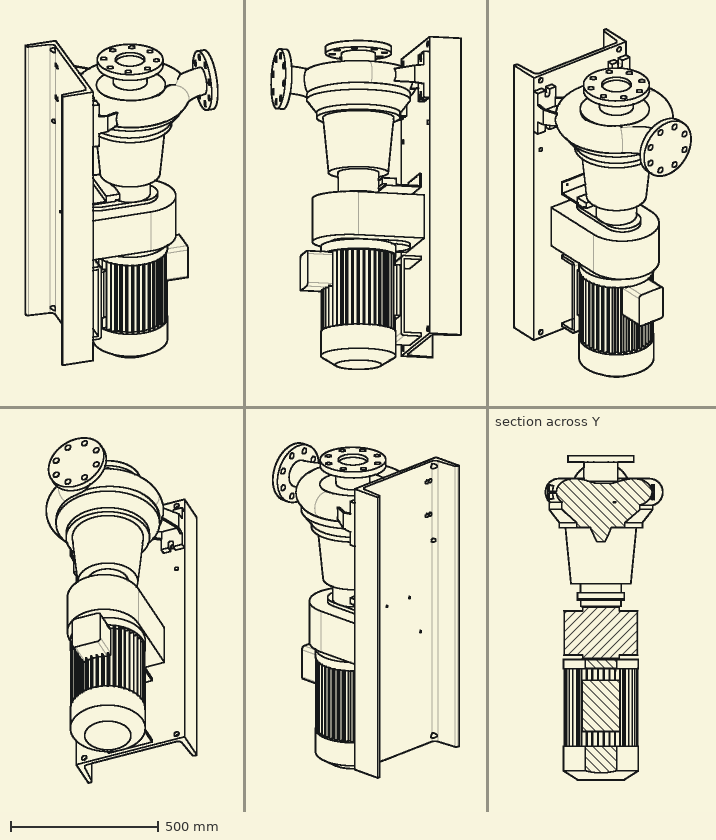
import cadquery as cq
import math


CHANNEL_WIDTH = 400.0
CHANNEL_LENGTH = 1030.0
CHANNEL_DEPTH = 110.0
WEB_THICKNESS = 14.0
WEB_FACE_Y = -200.0
FLANGE_ROOT_THICKNESS = 22.0
FLANGE_TIP_THICKNESS = 14.0
FLANGE_ROOT_RADIUS = 15.0
FLANGE_TIP_RADIUS = 8.0
ANCHOR_HOLE_X = 170.0
ANCHOR_HOLES = ((21.0, 9.0), (738.0, 7.0), (1010.0, 9.0))
FOOT_HOLE_XS = (141.0, 157.0)
FOOT_HOLE_RADIUS = 7.0
SMALL_HOLE_RADIUS = 3.0
SUPPORT_HOLE_X = 55.0
SUPPORT_HOLE_Z = 560.0
GUARD_HOLE_X = 110.0

SUCTION_FACE_Z = 1023.0
SUCTION_FLANGE_RADIUS = 112.0
SUCTION_FLANGE_THICKNESS = 22.0
SUCTION_PIPE_RADIUS = 58.0
SUCTION_BORE_RADIUS = 50.0
SUCTION_BORE_DEPTH = 12.0
SUCTION_BOLT_CIRCLE_RADIUS = 90.0
BOLT_HOLE_RADIUS = 10.0
BOLT_COUNT = 8

VOLUTE_Z = 899.0
VOLUTE_TUBE_RADIUS = 47.0
VOLUTE_CENTRE_X = 11.0
VOLUTE_TURN_RADIUS = 153.0
OUTLET_TURN_ANGLE = 60.0
TONGUE_TUBE_RADIUS = 29.0
TONGUE_END_RADIUS = 157.0
TONGUE_END_ANGLE = 58.0
DISCHARGE_FACE_Y = 281.0
DISCHARGE_FLANGE_RADIUS = 102.0
DISCHARGE_FLANGE_THICKNESS = 22.0
DISCHARGE_BOLT_CIRCLE_RADIUS = 80.0

COVER_TOP_Z = 936.0
COVER_EDGE_Z = 929.0
COVER_EDGE_RADIUS = 123.0
CASING_RADIUS = 176.0
CASING_TOP_Z = 865.0
CASING_CONE_TOP_Z = 840.0
COLLAR_RADIUS = 142.0
COLLAR_TOP_Z = 796.0
BRACKET_TOP_Z = 778.0
BRACKET_TOP_RADIUS = 121.0
BRACKET_BOTTOM_RADIUS = 102.0
NECK_TOP_Z = 587.0
NECK_TOP_RADIUS = 70.0
NECK_BOTTOM_RADIUS = 69.0
NECK_BOTTOM_Z = 511.0

PAD_INNER_X = 122.0
PAD_THICKNESS = 21.0
PAD_BOTTOM_Z = 819.0
PAD_TOP_Z = 978.0
PAD_SLOT_X = 158.0
PAD_SLOT_WIDTH = 18.0
PAD_SLOT_DEPTH = 18.0
FOOT_WALL = 7.0
FOOT_BEND_Y = -148.0
FOOT_TIP = (-144.0, -48.0)
FOOT_ROOT_HALF_HEIGHT = 35.0
FOOT_TIP_HALF_HEIGHT = 17.0
FOOT_RIB_TIP = (-67.0, -152.0)

SUPPORT_HALF_WIDTH = 80.0
SUPPORT_SHEET = 4.0
SUPPORT_BOTTOM_Z = 532.0
SUPPORT_TOP_Z = 578.0
SUPPORT_FRONT_Y = -78.0
LUG_FRONT_Y = -64.0
LUG_BACK_Y = -113.0
LUG_TOP_Z = 557.0

GUARD_RADIUS = 125.0
GUARD_ROUND_Y = 32.0
GUARD_BOTTOM_Z = 345.0
GUARD_TOP_Z = 495.0
BOSS_RADIUS = 63.0
BOSS_LOWER_Y = -117.0
BOSS_BOTTOM_Z = 333.0
BOSS_TOP_Z = 508.0

MOTOR_RADIUS = 128.0
MOTOR_TOP_Z = 331.0
FINS_TOP_Z = 299.0
FINS_BOTTOM_Z = 35.0
FAN_COVER_CONE_Z = -49.0
MOTOR_BOTTOM_Z = -80.0
MOTOR_BOTTOM_RADIUS = 79.0
FIN_TIP_RADIUS = 125.0
FIN_CORE_RADIUS = 111.0
FIN_THICKNESS = 2.0
FINS_PER_SIDE = 10
FIN_PITCH_ANGLE = 360.0 / (4 * FINS_PER_SIDE)
BOX_HALF_WIDTH = 52.0
BOX_FACE_Y = 191.0
BOX_BOTTOM_Z = 176.0
BOX_EDGE_RADIUS = 11.0
MOTOR_FOOT_BOTTOM_Z = 84.0
MOTOR_FOOT_TOP_Z = 260.0
MOTOR_FOOT_HALF_WIDTH = 67.0
MOTOR_FOOT_THICKNESS = 12.0
MOTOR_FOOT_NECK_HALF_WIDTH = 53.0
MOTOR_FOOT_NECK_Y = -100.0

MOUNT_FACE_Y = -130.0
MOUNT_BOTTOM_Z = 13.0
MOUNT_TOP_Z = 291.0
MOUNT_THICKNESS = 11.0
MOUNT_HALF_WIDTH = 80.0
MOUNT_CORNER_RADIUS = 10.0


def box_between(x_range, y_range, z_range):
    """Box that spans three (low, high) ranges."""
    size = [high - low for low, high in (x_range, y_range, z_range)]
    corner = (x_range[0], y_range[0], z_range[0])
    return cq.Workplane(cq.Solid.makeBox(*size, pnt=cq.Vector(*corner)))


def z_cylinder(radius, bottom_z, top_z):
    return cq.Workplane("XY", origin=(0, 0, bottom_z)).circle(radius).extrude(top_z - bottom_z)


def z_extrusion(points, bottom_z, top_z):
    """Closed XY outline extruded between two heights."""
    outline = cq.Workplane("XY", origin=(0, 0, bottom_z)).polyline(points).close()
    return outline.extrude(top_z - bottom_z)


def mirrored_pair(shape):
    """The shape and its mirror image across the YZ plane, as one workplane."""
    return shape.union(shape.mirror("YZ"))


def web_holes(points, radius):
    """Drills for the channel web at (X, Z) points."""
    plane = cq.Workplane("XZ", origin=(0, WEB_FACE_Y, 0))
    return plane.pushPoints(points).circle(radius).extrude(CHANNEL_DEPTH)


def both_sides(x, z):
    return [(-x, z), (x, z)]


def make_channel():
    outer_x = CHANNEL_WIDTH / 2
    tip_y = WEB_FACE_Y - CHANNEL_DEPTH
    web_back_y = WEB_FACE_Y - WEB_THICKNESS
    root_x = outer_x - FLANGE_ROOT_THICKNESS
    tip_x = outer_x - FLANGE_TIP_THICKNESS
    outline = [
        (-outer_x, WEB_FACE_Y),
        (outer_x, WEB_FACE_Y),
        (outer_x, tip_y),
        (tip_x, tip_y),
        (root_x, web_back_y),
        (-root_x, web_back_y),
        (-tip_x, tip_y),
        (-outer_x, tip_y),
    ]
    channel = z_extrusion(outline, 0, CHANNEL_LENGTH)

    middle_z = CHANNEL_LENGTH / 2
    for side in (-1, 1):
        root = cq.NearestToPointSelector((side * root_x, web_back_y, middle_z))
        channel = channel.edges("|Z").edges(root).fillet(FLANGE_ROOT_RADIUS)
        tip = cq.NearestToPointSelector((side * tip_x, tip_y, middle_z))
        channel = channel.edges("|Z").edges(tip).fillet(FLANGE_TIP_RADIUS)

    for z, radius in ANCHOR_HOLES:
        channel = channel.cut(web_holes(both_sides(ANCHOR_HOLE_X, z), radius))
    for z in (PAD_BOTTOM_Z + PAD_SLOT_DEPTH, PAD_TOP_Z - PAD_SLOT_DEPTH):
        for x in FOOT_HOLE_XS:
            channel = channel.cut(web_holes(both_sides(x, z), FOOT_HOLE_RADIUS))
    guard_middle_z = (GUARD_BOTTOM_Z + GUARD_TOP_Z) / 2
    small_holes = both_sides(SUPPORT_HOLE_X, SUPPORT_HOLE_Z)
    small_holes += both_sides(GUARD_HOLE_X, guard_middle_z)
    return channel.cut(web_holes(small_holes, SMALL_HOLE_RADIUS))


def bolt_holes(flange, circle_radius):
    """Flange with a ring of bolt holes that straddles the flange's axes."""
    ring = flange.polarArray(circle_radius, 180 / BOLT_COUNT, 360, BOLT_COUNT)
    return ring.circle(BOLT_HOLE_RADIUS).cutThruAll()


def make_suction():
    flange_back_z = SUCTION_FACE_Z - SUCTION_FLANGE_THICKNESS
    flange = z_cylinder(SUCTION_FLANGE_RADIUS, flange_back_z, SUCTION_FACE_Z)
    flange = bolt_holes(flange.faces(">Z").workplane(), SUCTION_BOLT_CIRCLE_RADIUS)
    pipe = z_cylinder(SUCTION_PIPE_RADIUS, VOLUTE_Z, flange_back_z)
    bore = z_cylinder(SUCTION_BORE_RADIUS, SUCTION_FACE_Z - SUCTION_BORE_DEPTH, SUCTION_FACE_Z)
    return flange.union(pipe).cut(bore)


def tube_section(centre, turn_radius, angle, tube_radius):
    """Circle on the vertical plane through `centre` at `angle` degrees from +X."""
    outward = cq.Vector(math.cos(math.radians(angle)), math.sin(math.radians(angle)), 0)
    middle = cq.Vector(centre[0], centre[1], VOLUTE_Z) + outward * turn_radius
    plane = cq.Plane(origin=middle, xDir=outward, normal=outward.cross(cq.Vector(0, 0, 1)))
    return cq.Workplane(plane).circle(tube_radius)


def tube_arc(centre, turn_radius, start_angle, end_angle):
    """Round tube that turns counterclockwise about a vertical axis at `centre`."""
    section = tube_section(centre, turn_radius, start_angle, VOLUTE_TUBE_RADIUS)
    return section.revolve(end_angle - start_angle, (-turn_radius, 0), (-turn_radius, 1))


def make_tongue():
    """Start of the volute, which widens from inside the outlet to the full tube on the -X side."""
    full_radius = VOLUTE_TURN_RADIUS - VOLUTE_CENTRE_X
    full = tube_section((0, 0), full_radius, 180, VOLUTE_TUBE_RADIUS)
    narrow = tube_section((0, 0), TONGUE_END_RADIUS, TONGUE_END_ANGLE, TONGUE_TUBE_RADIUS)

    end_angle = math.radians(TONGUE_END_ANGLE)
    middle_angle = (math.pi + end_angle) / 2
    middle_radius = (full_radius + TONGUE_END_RADIUS) / 2
    middle = (middle_radius * math.cos(middle_angle), middle_radius * math.sin(middle_angle))
    end = (TONGUE_END_RADIUS * math.cos(end_angle), TONGUE_END_RADIUS * math.sin(end_angle))
    path = cq.Workplane("XY", origin=(0, 0, VOLUTE_Z)).moveTo(-full_radius, 0)
    path = path.threePointArc(middle, end)
    return full.add(narrow).sweep(path, multisection=True)


def make_volute():
    turn = math.radians(OUTLET_TURN_ANGLE)
    inflection = (
        VOLUTE_CENTRE_X + VOLUTE_TURN_RADIUS * math.cos(turn),
        VOLUTE_TURN_RADIUS * math.sin(turn),
    )
    bend_radius = inflection[0] / (1 - math.cos(turn))
    bend_centre = (bend_radius, inflection[1] + bend_radius * math.sin(turn))
    flange_middle_y = DISCHARGE_FACE_Y - DISCHARGE_FLANGE_THICKNESS / 2
    bend_rest = math.degrees(math.asin((bend_centre[1] - flange_middle_y) / bend_radius))

    volute = tube_arc((VOLUTE_CENTRE_X, 0), VOLUTE_TURN_RADIUS, -180, OUTLET_TURN_ANGLE)
    volute = volute.union(make_tongue())
    bend = tube_arc(bend_centre, bend_radius, 180 + bend_rest, 180 + OUTLET_TURN_ANGLE)

    flange = cq.Workplane("XZ", origin=(0, DISCHARGE_FACE_Y, VOLUTE_Z))
    flange = flange.circle(DISCHARGE_FLANGE_RADIUS).extrude(DISCHARGE_FLANGE_THICKNESS)
    flange = bolt_holes(flange.faces(">Y").workplane(), DISCHARGE_BOLT_CIRCLE_RADIUS)
    return volute.union(bend).union(flange)


def make_casing():
    """Body of revolution from the volute's cover down to the drive-end neck."""
    profile = [
        (0, COVER_TOP_Z),
        (SUCTION_PIPE_RADIUS, COVER_TOP_Z),
        (COVER_EDGE_RADIUS, COVER_EDGE_Z),
        (COVER_EDGE_RADIUS, CASING_TOP_Z),
        (CASING_RADIUS, CASING_TOP_Z),
        (CASING_RADIUS, CASING_CONE_TOP_Z),
        (COLLAR_RADIUS, COLLAR_TOP_Z),
        (COLLAR_RADIUS, BRACKET_TOP_Z),
        (BRACKET_TOP_RADIUS, BRACKET_TOP_Z),
        (BRACKET_BOTTOM_RADIUS, NECK_TOP_Z),
        (NECK_TOP_RADIUS, NECK_TOP_Z),
        (NECK_BOTTOM_RADIUS, NECK_BOTTOM_Z),
        (0, NECK_BOTTOM_Z),
    ]
    return cq.Workplane("XZ").polyline(profile).close().revolve(360, (0, 0), (0, 1))


def make_left_foot():
    outer_x = -CHANNEL_WIDTH / 2
    pad_top_y = WEB_FACE_Y + PAD_THICKNESS
    pad = box_between((outer_x, -PAD_INNER_X), (WEB_FACE_Y, pad_top_y), (PAD_BOTTOM_Z, PAD_TOP_Z))
    for end_z in (PAD_BOTTOM_Z, PAD_TOP_Z):
        slot = cq.Workplane("XZ", origin=(-PAD_SLOT_X, pad_top_y, end_z))
        slot = slot.slot2D(2 * PAD_SLOT_DEPTH + PAD_SLOT_WIDTH, PAD_SLOT_WIDTH, 90)
        pad = pad.cut(slot.extrude(PAD_THICKNESS))

    rib_root = (-PAD_INNER_X, pad_top_y - FOOT_WALL)
    region = [(outer_x, rib_root[1]), (outer_x, FOOT_BEND_Y), FOOT_TIP, FOOT_RIB_TIP, rib_root]
    top_z = VOLUTE_Z + FOOT_ROOT_HALF_HEIGHT
    foot = z_extrusion(region, VOLUTE_Z - FOOT_ROOT_HALF_HEIGHT, top_z)
    inset = FOOT_WALL
    slope = math.atan2(FOOT_TIP[1] - FOOT_BEND_Y, FOOT_TIP[0] - outer_x)
    rib_slope = math.atan2(FOOT_RIB_TIP[1] - rib_root[1], FOOT_RIB_TIP[0] - rib_root[0])
    hollow = [
        (outer_x + inset, pad_top_y),
        (outer_x + inset, FOOT_BEND_Y),
        (FOOT_TIP[0] + inset * math.sin(slope), FOOT_TIP[1] - inset * math.cos(slope)),
        (FOOT_RIB_TIP[0] - inset * math.sin(rib_slope), FOOT_RIB_TIP[1] + inset * math.cos(rib_slope)),
        (rib_root[0] - inset * math.sin(rib_slope), rib_root[1] + inset * math.cos(rib_slope)),
    ]
    foot = foot.cut(z_extrusion(hollow, VOLUTE_Z + FOOT_WALL / 2, top_z))
    foot = foot.cut(z_extrusion(hollow, VOLUTE_Z - FOOT_ROOT_HALF_HEIGHT, VOLUTE_Z - FOOT_WALL / 2))

    taper = [
        (WEB_FACE_Y, -FOOT_ROOT_HALF_HEIGHT),
        (FOOT_TIP[1], -FOOT_TIP_HALF_HEIGHT),
        (FOOT_TIP[1], FOOT_TIP_HALF_HEIGHT),
        (WEB_FACE_Y, FOOT_ROOT_HALF_HEIGHT),
    ]
    envelope = cq.Workplane("YZ", origin=(outer_x, 0, VOLUTE_Z)).polyline(taper).close()
    return pad.union(foot.intersect(envelope.extrude(CHANNEL_WIDTH)))


def make_support():
    """Sheet angle that carries a lug under the neck."""
    width = (-SUPPORT_HALF_WIDTH, SUPPORT_HALF_WIDTH)
    shelf_top_z = SUPPORT_BOTTOM_Z + SUPPORT_SHEET
    shelf = box_between(width, (WEB_FACE_Y, SUPPORT_FRONT_Y), (SUPPORT_BOTTOM_Z, shelf_top_z))
    upright_front_y = WEB_FACE_Y + SUPPORT_SHEET
    upright = box_between(width, (WEB_FACE_Y, upright_front_y), (SUPPORT_BOTTOM_Z, SUPPORT_TOP_Z))
    lug = box_between(width, (LUG_BACK_Y, LUG_FRONT_Y), (shelf_top_z, LUG_TOP_Z))
    return shelf.union(upright).union(lug)


def make_pump():
    pump = make_casing().union(make_volute()).union(make_suction())
    return pump.union(mirrored_pair(make_left_foot())).union(make_support())


def make_guard():
    round_top = GUARD_ROUND_Y + GUARD_RADIUS
    guard = (
        cq.Workplane("XY", origin=(0, 0, GUARD_BOTTOM_Z))
        .moveTo(-GUARD_RADIUS, WEB_FACE_Y)
        .lineTo(-GUARD_RADIUS, GUARD_ROUND_Y)
        .threePointArc((0, round_top), (GUARD_RADIUS, GUARD_ROUND_Y))
        .lineTo(GUARD_RADIUS, WEB_FACE_Y)
        .close()
        .extrude(GUARD_TOP_Z - GUARD_BOTTOM_Z)
    )
    centre_distance = GUARD_ROUND_Y - BOSS_LOWER_Y
    boss = (
        cq.Workplane("XY", origin=(0, (GUARD_ROUND_Y + BOSS_LOWER_Y) / 2, BOSS_BOTTOM_Z))
        .slot2D(centre_distance + 2 * BOSS_RADIUS, 2 * BOSS_RADIUS, 90)
        .extrude(BOSS_TOP_Z - BOSS_BOTTOM_Z)
    )
    return guard.union(boss)


def make_fins():
    """Four groups of parallel fins; their tips are evenly spaced around the motor."""
    height = FINS_TOP_Z - FINS_BOTTOM_Z
    fins = z_cylinder(FIN_CORE_RADIUS, FINS_BOTTOM_Z, FINS_TOP_Z)
    for index in range(FINS_PER_SIDE):
        angle = math.radians((index - (FINS_PER_SIDE - 1) / 2) * FIN_PITCH_ANGLE)
        offset = FIN_TIP_RADIUS * math.sin(angle)
        length = 2 * FIN_TIP_RADIUS * math.cos(angle)
        plane = cq.Workplane("XY", origin=(0, 0, FINS_BOTTOM_Z))
        fins = fins.union(plane.center(0, offset).rect(length, FIN_THICKNESS).extrude(height))
        fins = fins.union(plane.center(offset, 0).rect(FIN_THICKNESS, length).extrude(height))
    return fins


def make_motor():
    fan_cover = [
        (0, FINS_BOTTOM_Z),
        (MOTOR_RADIUS, FINS_BOTTOM_Z),
        (MOTOR_RADIUS, FAN_COVER_CONE_Z),
        (MOTOR_BOTTOM_RADIUS, MOTOR_BOTTOM_Z),
        (0, MOTOR_BOTTOM_Z),
    ]
    motor = cq.Workplane("XZ").polyline(fan_cover).close().revolve(360, (0, 0), (0, 1))
    motor = motor.union(z_cylinder(MOTOR_RADIUS, FINS_TOP_Z, MOTOR_TOP_Z)).union(make_fins())

    box_width = (-BOX_HALF_WIDTH, BOX_HALF_WIDTH)
    terminal_box = box_between(box_width, (0, BOX_FACE_Y), (BOX_BOTTOM_Z, FINS_TOP_Z))
    motor = motor.union(terminal_box.edges("|Y").fillet(BOX_EDGE_RADIUS))

    sole_top_y = MOUNT_FACE_Y + MOTOR_FOOT_THICKNESS
    right_side = [
        (MOTOR_FOOT_HALF_WIDTH, MOUNT_FACE_Y),
        (MOTOR_FOOT_HALF_WIDTH, sole_top_y),
        (MOTOR_FOOT_NECK_HALF_WIDTH, MOTOR_FOOT_NECK_Y),
    ]
    left_side = [(-x, y) for x, y in reversed(right_side)]
    return motor.union(z_extrusion(right_side + left_side, MOTOR_FOOT_BOTTOM_Z, MOTOR_FOOT_TOP_Z))


def make_mount():
    width = (-MOUNT_HALF_WIDTH, MOUNT_HALF_WIDTH)
    outer = box_between(width, (WEB_FACE_Y, MOUNT_FACE_Y), (MOUNT_BOTTOM_Z, MOUNT_TOP_Z))
    outer = outer.edges("|X and >Y").fillet(MOUNT_CORNER_RADIUS)
    opening = box_between(
        width,
        (WEB_FACE_Y, MOUNT_FACE_Y - MOUNT_THICKNESS),
        (MOUNT_BOTTOM_Z + MOUNT_THICKNESS, MOUNT_TOP_Z - MOUNT_THICKNESS),
    )
    return outer.cut(opening)


channel = make_channel()
pump = make_pump()
guard = make_guard()
motor = make_motor()
mount = make_mount()

result = cq.Compound.makeCompound(
    [channel.val(), pump.val(), guard.val(), motor.val(), mount.val()]
)